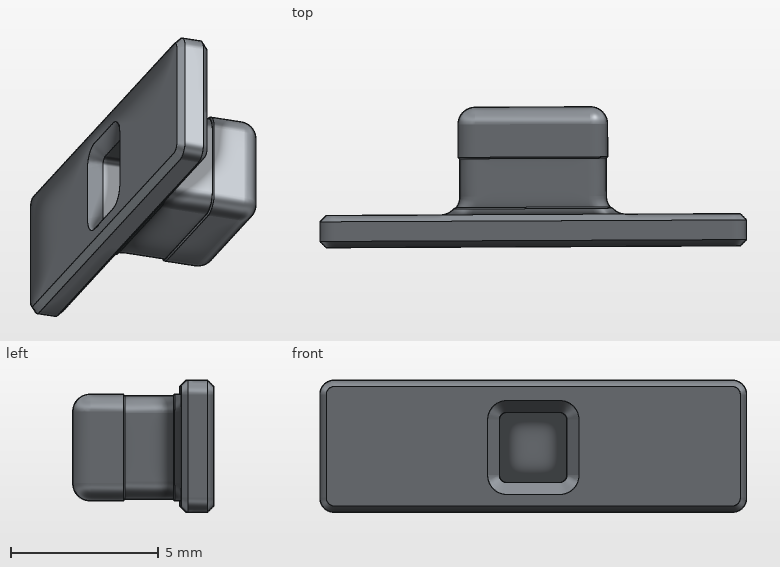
import cadquery as cq
import math

overall_length = 14.52
turn_angle = 0.26

plate_height = 4.5
plate_thickness = 1.1
plate_corner_radius = 0.5
plate_chamfer = 0.22
plate_flank = plate_thickness - 2 * plate_chamfer
turn = math.radians(turn_angle)
plate_length = (overall_length - plate_flank * math.sin(turn)) / math.cos(turn)

cap_width = 5.1
cap_height = 3.63
cap_end_y = 4.76
cap_start_y = 3.0
block_radius = 0.6
axis_x = 0
axis_z = -0.05

neck_inset = 0.051
neck_start_y = 1.35
neck_width = cap_width - 2 * neck_inset
neck_height = cap_height - 2 * neck_inset
flare_radius = 0.61
flare_margin = 0.15

opening_width = 2.3
opening_height = 2.38
opening_radius = 0.25
opening_chamfer = 0.4


def block(width, height, start_y, end_y):
    """Box on the shared axis, between two Y positions."""
    length = end_y - start_y
    return cq.Workplane("XY").box(width, length, height).translate((axis_x, start_y + length / 2, axis_z))


def rounded_block(width, height, radius, start_y, end_y):
    """Block whose four edges along Y are rounded."""
    return block(width, height, start_y, end_y).edges("|Y").fillet(radius)


def flared_column(width, height, start_y, end_y):
    """Column whose two sides curve out onto the plate, with its long edges rounded along the curve."""
    neck_x = width / 2
    foot_x = neck_x + flare_radius
    flare_end_y = plate_thickness + flare_radius
    arc_offset = flare_radius * (1 - math.sqrt(0.5))
    outline = (
        cq.Workplane("XY")
        .moveTo(-foot_x - flare_margin, 0)
        .lineTo(foot_x + flare_margin, 0)
        .lineTo(foot_x + flare_margin, plate_thickness)
        .lineTo(foot_x, plate_thickness)
        .threePointArc((neck_x + arc_offset, plate_thickness + arc_offset), (neck_x, flare_end_y))
        .lineTo(neck_x, cap_start_y)
        .lineTo(-neck_x, cap_start_y)
        .lineTo(-neck_x, flare_end_y)
        .threePointArc((-neck_x - arc_offset, plate_thickness + arc_offset), (-foot_x, plate_thickness))
        .lineTo(-foot_x - flare_margin, plate_thickness)
        .close()
    )
    column = outline.extrude(height / 2, both=True)
    flank = cq.selectors.BoxSelector(
        (-foot_x, plate_thickness + 0.01, -height), (foot_x, cap_start_y - 0.01, height)
    )
    column = column.edges(flank).fillet(block_radius)
    column = column.translate((axis_x, 0, axis_z))
    return column.intersect(block(2 * foot_x, height, start_y, end_y))


def make_opening():
    """Straight opening with a wide 45 degree chamfer at its mouth."""
    straight = rounded_block(opening_width, opening_height, opening_radius, 0, cap_start_y)
    mouth = rounded_block(
        opening_width + 2 * opening_chamfer,
        opening_height + 2 * opening_chamfer,
        opening_radius + opening_chamfer,
        -opening_chamfer,
        opening_chamfer,
    )
    return straight.union(mouth.faces(">Y").chamfer(opening_chamfer))


def make_plate():
    """Chamfered bar with the flared pad on its back and the opening through both."""
    bar = cq.Workplane("XY").box(plate_length, plate_thickness, plate_height)
    bar = bar.translate((0, plate_thickness / 2, 0)).edges("|Y").fillet(plate_corner_radius)
    bar = bar.faces("<Y or >Y").chamfer(plate_chamfer)
    pad = flared_column(cap_width, cap_height, 0, neck_start_y).faces(">Y").chamfer(neck_inset)
    return bar.union(pad).cut(make_opening())


def make_neck():
    """Hollow column between the pad and the cap."""
    return flared_column(neck_width, neck_height, neck_start_y, cap_start_y).cut(make_opening())


def make_cap():
    """Solid block with a rounded far end."""
    cap = rounded_block(cap_width, cap_height, block_radius, cap_start_y, cap_end_y)
    return cap.faces("<Y").chamfer(neck_inset).faces(">Y").edges().fillet(block_radius)


def turned(body):
    """Body turned by a small angle about the upright line through the middle of the plate."""
    middle_y = plate_thickness / 2
    return body.rotate((0, middle_y, 0), (0, middle_y, 1), turn_angle)


plate = turned(make_plate())
neck = turned(make_neck())
cap = turned(make_cap())

result = cq.Compound.makeCompound([plate.val(), neck.val(), cap.val()])